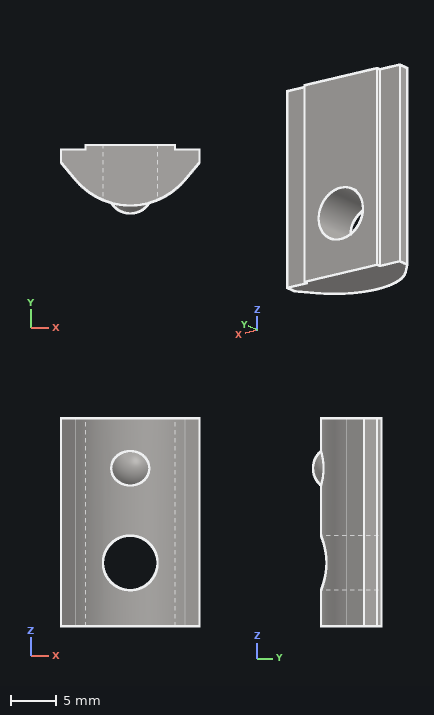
import cadquery as cq
import math

length = 23.0
width = 15.3
body_depth = 6.7

pad_width = 9.9
pad_height = 0.5

side_edge_depth = 1.95
crown_radius = 7.9

hole_diameter = 6.0
hole_z = 7.02
ball_radius = 2.45
ball_protrusion = 0.9
ball_z = 17.45

half_width = width / 2
half_pad = pad_width / 2
crown_center_y = crown_radius - body_depth

edge_drop = crown_center_y + side_edge_depth
edge_distance = math.hypot(half_width, edge_drop)
edge_angle = math.atan2(half_width, edge_drop)
tangent_angle = edge_angle - math.acos(crown_radius / edge_distance)
tangent_x = crown_radius * math.sin(tangent_angle)
tangent_y = crown_center_y - crown_radius * math.cos(tangent_angle)


def make_body():
    """Extrude the crowned profile; Y = 0 is the face of the raised pad."""
    return (
        cq.Workplane("XY")
        .moveTo(-half_pad, 0)
        .lineTo(half_pad, 0)
        .lineTo(half_pad, -pad_height)
        .lineTo(half_width, -pad_height)
        .lineTo(half_width, -side_edge_depth)
        .lineTo(tangent_x, tangent_y)
        .threePointArc((0, -body_depth), (-tangent_x, tangent_y))
        .lineTo(-half_width, -side_edge_depth)
        .lineTo(-half_width, -pad_height)
        .lineTo(-half_pad, -pad_height)
        .close()
        .extrude(length)
    )


def make_hole():
    """Through bore along Y."""
    return (
        cq.Workplane("XZ")
        .center(0, hole_z)
        .circle(hole_diameter / 2)
        .extrude(body_depth)
    )


def make_ball():
    """Ball sunk into the crown so that only its cap stands proud."""
    ball_y = ball_radius - body_depth - ball_protrusion
    return cq.Workplane("XY").sphere(ball_radius).translate((0, ball_y, ball_z))


result = make_body().cut(make_hole()).union(make_ball())